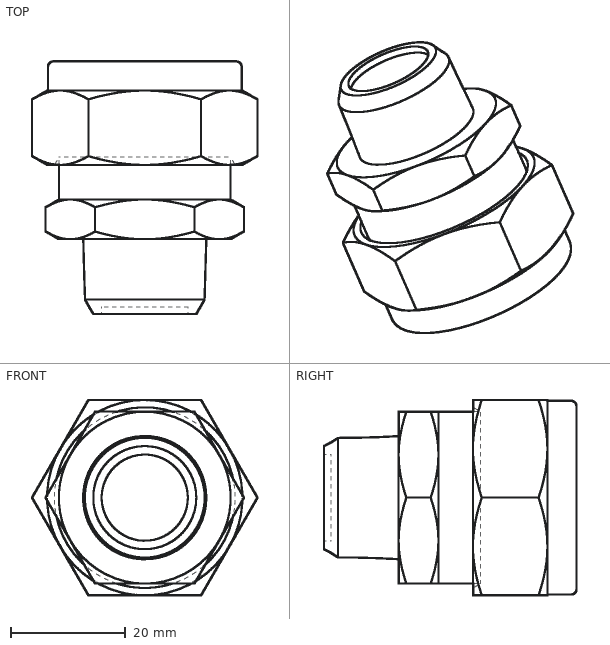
import cadquery as cq
import math

SPIGOT_TIP_LENGTH = 2.5
SPIGOT_LENGTH = 13.02
BODY_HEX_LENGTH = 6.9
NECK_LENGTH = 6.05
NUT_HEX_LENGTH = 12.95
TOTAL_LENGTH = 44.0

BODY_HEX_FLATS = 29.9
NUT_HEX_FLATS = 34.0
HEX_CHAMFER_ANGLE = math.radians(30)

NECK_DIAMETER = BODY_HEX_FLATS
NUT_MOUTH_DIAMETER = 31.45
NUT_MOUTH_HALF_ANGLE = math.radians(30)
COLLAR_DIAMETER = 33.8
COLLAR_FILLET = 1.0
SPIGOT_ROOT_DIAMETER = 21.45
SPIGOT_SHOULDER_DIAMETER = 20.85
SPIGOT_TIP_DIAMETER = 17.95
BORE_DIAMETER = 15.0
BORE_DEPTH = 1.25

body_hex_start = SPIGOT_LENGTH
neck_start = body_hex_start + BODY_HEX_LENGTH
nut_hex_start = neck_start + NECK_LENGTH
collar_start = nut_hex_start + NUT_HEX_LENGTH
collar_length = TOTAL_LENGTH - collar_start


def section_plane(y):
    """Plane across the axis at y, extruding toward +Y."""
    return cq.Workplane(cq.Plane(origin=(0, y, 0), xDir=(1, 0, 0), normal=(0, 1, 0)))


def cylinder(y, diameter, length):
    return section_plane(y).circle(diameter / 2).extrude(length)


def revolved(profile):
    """Solid of revolution about Y from (radius, y) points."""
    return cq.Workplane("XY").polyline(profile).close().revolve(360, (0, 0), (0, 1))


def chamfered_hex(y, flats, length):
    """Hexagonal prism whose corners are cut conically at both ends."""
    corner_diameter = flats / math.cos(math.pi / 6)
    face_radius = flats / 2
    corner_radius = corner_diameter / 2
    drop = (corner_radius - face_radius) * math.tan(HEX_CHAMFER_ANGLE)
    envelope = revolved([
        (0, y),
        (face_radius, y),
        (corner_radius, y + drop),
        (corner_radius, y + length - drop),
        (face_radius, y + length),
        (0, y + length),
    ])
    prism = section_plane(y).polygon(6, corner_diameter).extrude(length)
    return prism.intersect(envelope)


spigot = revolved([
    (0, 0),
    (SPIGOT_TIP_DIAMETER / 2, 0),
    (SPIGOT_SHOULDER_DIAMETER / 2, SPIGOT_TIP_LENGTH),
    (SPIGOT_ROOT_DIAMETER / 2, SPIGOT_LENGTH),
    (0, SPIGOT_LENGTH),
])

body_hex = chamfered_hex(body_hex_start, BODY_HEX_FLATS, BODY_HEX_LENGTH)
neck = cylinder(neck_start, NECK_DIAMETER, NECK_LENGTH)
nut_hex = chamfered_hex(nut_hex_start, NUT_HEX_FLATS, NUT_HEX_LENGTH)

mouth_radius = NUT_MOUTH_DIAMETER / 2
neck_radius = NECK_DIAMETER / 2
mouth_depth = (mouth_radius - neck_radius) / math.tan(NUT_MOUTH_HALF_ANGLE)
nut_mouth = revolved([
    (neck_radius, nut_hex_start),
    (mouth_radius, nut_hex_start),
    (neck_radius, nut_hex_start + mouth_depth),
])

collar = cylinder(collar_start, COLLAR_DIAMETER, collar_length)
collar = collar.faces(">Y").edges().fillet(COLLAR_FILLET)

bore = cylinder(0, BORE_DIAMETER, BORE_DEPTH)

result = spigot.union(body_hex).union(neck).union(nut_hex).union(collar)
result = result.cut(nut_mouth).cut(bore)